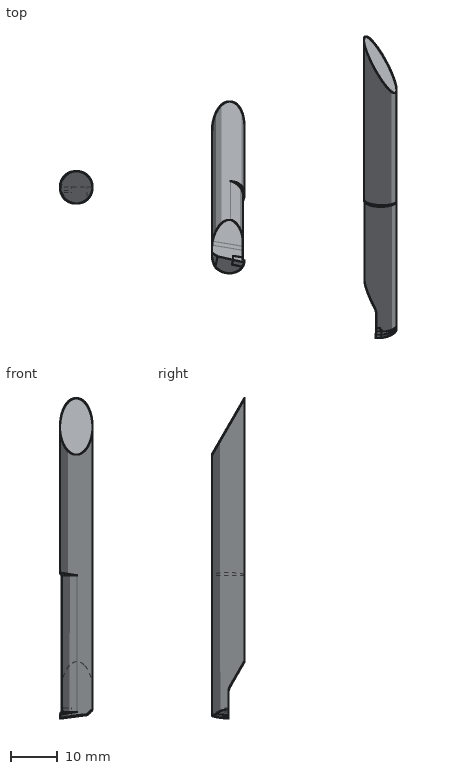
import cadquery as cq
import math

length = 68.3
radius = 3.5
bevel_slope = math.tan(math.radians(60))
oversize = 2 * radius

neck_offset = 0.35
neck_bottom = 1.45
neck_top = 30.55
neck_flare = 0.7
flare_bottom_height = 1.15

flat_y = 0.1
flat_corner_z = 6.3
flat_fillet = 2.45

end_slope = 0.13
end_relief_angle = 4.0
end_bevel_x = 2.3
end_bevel_slope = 1.0

tip_thickness = 1.15
tip_height = 2.25
tip_inner_x = -1.0
tip_bevel_width = 0.4
tip_bevel_height = 0.7


def make_bar():
    """Round bar with the upper end sliced obliquely, highest at +Y."""
    bar = cq.Workplane("XY").circle(radius).extrude(length)
    slice_cutter = (
        cq.Workplane("YZ")
        .moveTo(radius, length)
        .lineTo(-radius, length - 2 * radius * bevel_slope)
        .lineTo(-oversize, length - (radius + oversize) * bevel_slope)
        .lineTo(-oversize, length)
        .close()
        .extrude(oversize, both=True)
    )
    return bar.cut(slice_cutter)


def make_neck_cutter():
    """Ring around the offset axis, bounded by a cone at each end."""
    flare_radius = radius + neck_flare
    top_z = neck_top + neck_flare * bevel_slope
    profile = [
        (radius, neck_bottom),
        (radius, neck_top),
        (flare_radius, top_z),
        (oversize, top_z),
        (oversize, neck_bottom - flare_bottom_height),
        (flare_radius, neck_bottom - flare_bottom_height),
    ]
    ring = cq.Workplane("XZ").polyline(profile).close().revolve(360, (0, 0), (0, 1))
    minus_x_half = cq.Workplane("XY").box(
        2 * oversize, 4 * oversize, 2 * length, centered=(False, True, True)
    ).translate((neck_offset / 2 - 2 * oversize, 0, 0))
    return ring.translate((neck_offset, 0, 0)).intersect(minus_x_half)


def make_flat_cutter():
    """Half-section removal with a steep, filleted run-out."""
    run_out_z = flat_corner_z + (oversize - flat_y) * bevel_slope
    cutter = (
        cq.Workplane("YZ")
        .polyline([
            (flat_y, -oversize),
            (flat_y, flat_corner_z),
            (oversize, run_out_z),
            (oversize, -oversize),
        ])
        .close()
        .extrude(oversize, both=True)
    )
    corner = cq.selectors.NearestToPointSelector((0, flat_y, flat_corner_z))
    return cutter.edges(corner).fillet(flat_fillet)


def make_end_cutter():
    """Sloped, relieved end face with a bevel on the +X side."""
    bevel_z = (end_bevel_x + radius) * end_slope
    cutter = (
        cq.Workplane("XZ")
        .polyline([
            (-oversize, (radius - oversize) * end_slope),
            (end_bevel_x, bevel_z),
            (oversize, bevel_z + (oversize - end_bevel_x) * end_bevel_slope),
            (oversize, -oversize),
            (-oversize, -oversize),
        ])
        .close()
        .extrude(oversize, both=True)
    )
    return cutter.rotate((0, 0, 0), (1, 0, 0), -end_relief_angle)


def make_tip_envelope():
    """Block that occupies the tip seat, beveled along its lower back corner."""
    back_y = flat_y - tip_thickness
    return (
        cq.Workplane("YZ")
        .workplane(offset=-oversize)
        .polyline([
            (flat_y, -oversize),
            (flat_y, tip_height),
            (back_y + tip_bevel_width, tip_height),
            (back_y, tip_height - tip_bevel_height),
            (back_y, -oversize),
        ])
        .close()
        .extrude(oversize + tip_inner_x)
    )


tool = make_bar().cut(make_neck_cutter()).cut(make_flat_cutter()).cut(make_end_cutter())
tip_envelope = make_tip_envelope()

shank = tool.cut(tip_envelope)
cutting_tip = tool.intersect(tip_envelope)

result = cq.Compound.makeCompound([shank.val(), cutting_tip.val()])